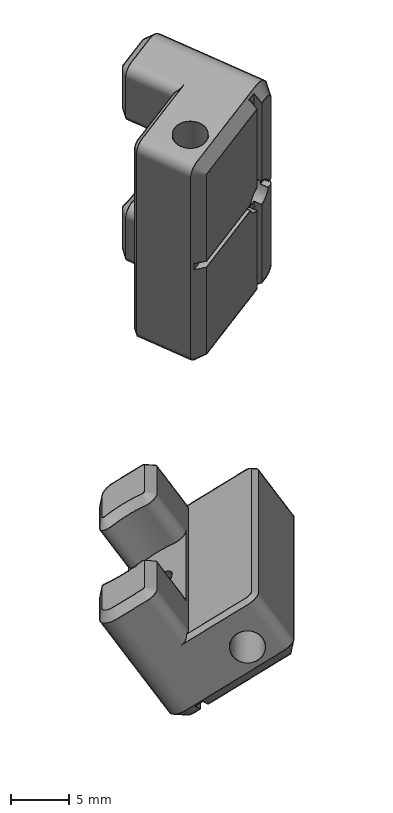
import cadquery as cq

WIDTH = 12.4
DEPTH = 13.0
HEIGHT = 25.6

RIDGE_FACE_X = 5.55
PAD_FACE_X = 5.17
ARM_DEPTH = 6.0
RIDGE_CHAMFER = 0.44
RIGHT_CHAMFER = 1.0
ARM_CHAMFER = 0.8
BACK_RADIUS = 2.0
FRONT_RADIUS = 1.02
ARM_RADIUS = 1.0

CROSS_HOLE_DIAMETER = 3.15
LONG_HOLE_DIAMETER = 3.1
LONG_HOLE_X = 9.35
LONG_HOLE_Y = 3.43
CLEARANCE_RADIUS = 6.0
GROOVE_WIDTH = 0.8
GROOVE_DEPTH = 0.8

ARM_FRONT_Y = DEPTH - ARM_DEPTH
AXIS_Y = DEPTH - ARM_DEPTH / 2
AXIS_Z = HEIGHT / 2
OVERLAP_X = RIDGE_FACE_X + RIDGE_CHAMFER


def rounded_block(start_x, end_x, front_y, front_radius):
    """Full-height block with rounded edges along X."""
    block = cq.Workplane("XY").box(
        end_x - start_x, DEPTH - front_y, HEIGHT, centered=False
    )
    block = block.translate((start_x, front_y, 0))
    block = block.edges("|X and >Y").fillet(BACK_RADIUS)
    return block.edges("|X and <Y").fillet(front_radius)


def x_cylinder(radius, length):
    """Cylinder on the cross-hole axis, starting at the left side."""
    plane = cq.Workplane("YZ", origin=(0, AXIS_Y, AXIS_Z))
    return plane.circle(radius).extrude(length)


def ridge():
    block = rounded_block(RIDGE_FACE_X, WIDTH, 0, FRONT_RADIUS)
    block = block.faces("<X").chamfer(RIDGE_CHAMFER)
    return block.faces(">X").chamfer(RIGHT_CHAMFER)


def arms():
    """Upper and lower arms left by a cylindrical clearance."""
    block = rounded_block(0, OVERLAP_X, ARM_FRONT_Y, ARM_RADIUS)
    block = block.cut(x_cylinder(CLEARANCE_RADIUS, OVERLAP_X))
    inner_corners = cq.selectors.BoxSelector(
        (-0.25, 0, AXIS_Z - CLEARANCE_RADIUS),
        (WIDTH, DEPTH + 0.25, AXIS_Z + CLEARANCE_RADIUS),
    )
    block = block.edges("|X").edges(inner_corners).fillet(ARM_RADIUS)
    return block.faces("<X").chamfer(ARM_CHAMFER)


def pad():
    return rounded_block(PAD_FACE_X, OVERLAP_X, ARM_FRONT_Y, ARM_RADIUS)


def right_face_grooves():
    """Crossed grooves centred on the cross hole."""
    x = WIDTH - GROOVE_DEPTH / 2
    along_y = cq.Workplane("XY").box(GROOVE_DEPTH, DEPTH, GROOVE_WIDTH)
    along_z = cq.Workplane("XY").box(GROOVE_DEPTH, GROOVE_WIDTH, HEIGHT)
    along_y = along_y.translate((x, DEPTH / 2, AXIS_Z))
    along_z = along_z.translate((x, AXIS_Y, AXIS_Z))
    return along_y.union(along_z)


def long_hole():
    plane = cq.Workplane("XY").center(LONG_HOLE_X, LONG_HOLE_Y)
    return plane.circle(LONG_HOLE_DIAMETER / 2).extrude(HEIGHT)


body = ridge().union(pad()).union(arms())
body = body.cut(x_cylinder(CROSS_HOLE_DIAMETER / 2, WIDTH))
body = body.cut(long_hole())
result = body.cut(right_face_grooves())